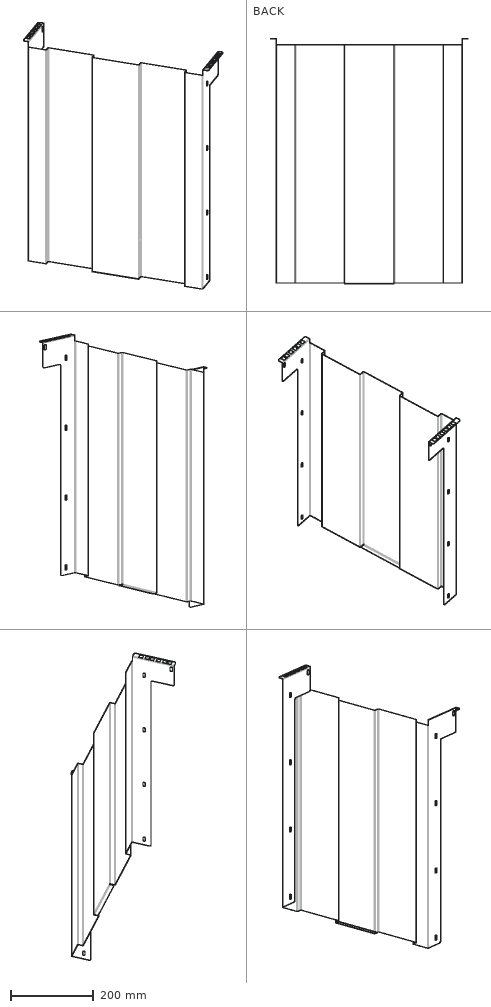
import cadquery as cq

width = 480.0
depth = 110.0
height = 597.0

sheet = 1.5
bend_inside = 0.5
bend_outside = bend_inside + sheet
bend_middle = bend_inside + sheet / 2

panel_bottom = bend_outside
panel_top = height - 15.0
rib_depth = 15.0
band_width = 120.0
half_middle = band_width / 2
rib_end = half_middle + band_width
lip_depth = 12.0

flange_width = 15.0
wall_inside = width / 2 - flange_width
wall_outside = wall_inside + sheet
wall_depth = 50.0
bracket_front = bend_outside
bracket_bottom = height - 65.0
bracket_corner = 4.0
notch_radius = 4.0
wall_corner = 4.0
flange_corner = 5.0

slot_length = 13.0
slot_width = 5.5
slot_y = 32.0
slot_count = 4
slot_pitch = 175.0
lowest_slot_z = 20.0
rear_slot_width = 6.5
rear_slot_y = depth - 8.0
rear_slot_z = height - 14.0

hole_side = 9.5
hole_x = width / 2 - 7.0
first_hole_y = 22.0
long_pitch = 16.0
short_pitch = 12.5
hole_pitches = [long_pitch, short_pitch, long_pitch, long_pitch, short_pitch]


def box(x_min, x_max, y_min, y_max, z_min, z_max):
    """Axis-aligned block between two opposite corners."""
    size = (x_max - x_min, y_max - y_min, z_max - z_min)
    return cq.Workplane("XY").box(*size, centered=False).translate((x_min, y_min, z_min))


def edge_near(x, y, z):
    """Selector for the edge closest to a point."""
    return cq.selectors.NearestToPointSelector((x, y, z))


def offset_prism(core, distance, prism_height):
    """Prism on the bottom outline of another prism, grown or shrunk by a distance."""
    outline = core.faces("<Z").wires().toPending().offset2D(distance)
    return outline.extrude(prism_height, combine=False)


def make_channel():
    """Corrugated panel and the lower side walls, folded from one sheet."""
    front_y = sheet / 2
    rib_y = rib_depth - sheet / 2
    wall_x = wall_inside + sheet / 2
    middle_step_x = half_middle + sheet / 2
    outer_step_x = rib_end - sheet / 2
    beyond_wall = 2 * wall_depth
    right_half = [
        (middle_step_x, front_y),
        (middle_step_x, rib_y),
        (outer_step_x, rib_y),
        (outer_step_x, front_y),
        (wall_x, front_y),
        (wall_x, beyond_wall),
    ]
    left_half = [(-x, y) for x, y in reversed(right_half)]

    panel_height = panel_top - panel_bottom
    base = cq.Workplane("XY", origin=(0, 0, panel_bottom))
    core = base.polyline(right_half + left_half).close().extrude(panel_height)
    core = core.edges("|Z").fillet(bend_middle)
    outer = offset_prism(core, sheet / 2, panel_height)
    inner = offset_prism(core, -sheet / 2, panel_height)
    wall_limit = box(-width, width, 0, wall_depth, 0, height)
    channel = outer.cut(inner).intersect(wall_limit)

    for x in (-wall_inside, wall_inside):
        channel = channel.edges("|X").edges(edge_near(x, wall_depth, panel_bottom)).fillet(wall_corner)
    return channel


def make_lip():
    """Lip under the middle band, joined to the panel by a quarter-round fold."""
    profile = (
        cq.Workplane("YZ", origin=(-half_middle, 0, 0))
        .moveTo(0, panel_bottom)
        .radiusArc((bend_outside, 0), -bend_outside)
        .lineTo(lip_depth, 0)
        .lineTo(lip_depth, sheet)
        .lineTo(bend_outside, sheet)
        .radiusArc((sheet, panel_bottom), bend_inside)
        .close()
    )
    return profile.extrude(band_width)


def make_bracket():
    """Upper right wall with its flange folded outward along the top."""
    bracket = box(wall_inside, wall_outside, bracket_front, depth, bracket_bottom, height)
    bracket = bracket.edges("|X and >Y and <Z").fillet(bracket_corner)
    flange = box(wall_inside, width / 2, bracket_front, depth, height - sheet, height)
    flange = flange.edges("|Z and >X").fillet(flange_corner)
    bracket = bracket.union(flange)
    bracket = bracket.edges("|Y").edges(edge_near(wall_inside, depth / 2, height)).fillet(bend_outside)
    inside_fold = edge_near(wall_outside, depth / 2, height - sheet)
    bracket = bracket.edges("|Y").edges(inside_fold).fillet(bend_inside)

    centers = [(hole_x, first_hole_y)]
    for pitch in hole_pitches:
        centers.append((hole_x, centers[-1][1] + pitch))
    holes = cq.Workplane("XY", origin=(0, 0, height)).pushPoints(centers).rect(hole_side, hole_side)
    return bracket.cut(holes.extrude(-2 * sheet))


def wall_slot(y, z, slot_size):
    """Upright round-ended cutter through both side walls."""
    profile = cq.Workplane("YZ", origin=(0, y, z)).slot2D(slot_length, slot_size, 90)
    return profile.extrude(width / 2, both=True)


def make_part():
    """Channel, lip and both brackets joined, then slotted."""
    bracket = make_bracket()
    part = make_channel().union(make_lip()).union(bracket).union(bracket.mirror("YZ")).clean()

    for corner_x in (-wall_inside, wall_inside):
        notch = edge_near(corner_x, wall_depth, bracket_bottom)
        part = part.edges("|X").edges(notch).fillet(notch_radius)

    for index in range(slot_count):
        part = part.cut(wall_slot(slot_y, lowest_slot_z + index * slot_pitch, slot_width))
    part = part.cut(wall_slot(rear_slot_y, rear_slot_z, rear_slot_width))
    return part.solids()


result = make_part()